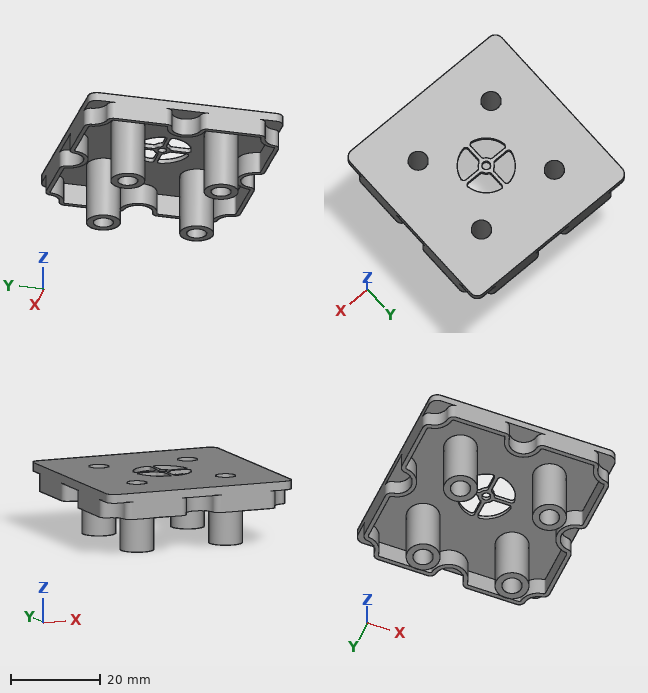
import cadquery as cq

side = 45.0
corner_radius = 2.0
rim_thickness = 2.0
block_height = 6.0
total_height = 15.2
wall = 1.0

pitch = 21.6
peg_diameter = 7.6
peg_bore = 4.5
scallop_radius = 3.35
lip_radius = 1.5

opening_diameter = 13.0
hub_diameter = 3.6
hub_bore = 2.0
spoke_width = 0.8
opening_fillet = 0.7

peg_places = [(x, y) for x in (-pitch / 2, pitch / 2) for y in (-pitch / 2, pitch / 2)]
scallop_places = [
    (x, y) for x in (-pitch, 0, pitch) for y in (-pitch, 0, pitch) if (x, y) != (0, 0)
]


def scalloped_block(width, radius, lip, top, bottom):
    """Square block between two heights with round bites at its corners and side middles, lips rounded."""
    height = top - bottom
    block = cq.Workplane("XY", origin=(0, 0, bottom)).rect(width, width).extrude(height)
    bites = cq.Workplane("XY", origin=(0, 0, bottom)).pushPoints(scallop_places)
    return block.cut(bites.circle(radius).extrude(height)).edges("|Z").fillet(lip)


def opening_windows():
    """Four rounded quarter windows left between the hub and its spokes."""
    ring = cq.Workplane("XY").circle(opening_diameter / 2).circle(hub_diameter / 2).extrude(-wall)
    for length, width in ((opening_diameter, spoke_width), (spoke_width, opening_diameter)):
        ring = ring.cut(cq.Workplane("XY").rect(length, width).extrude(-wall))
    return ring.edges("|Z").fillet(opening_fillet)


plate = cq.Workplane("XY").rect(side, side).extrude(-rim_thickness).edges("|Z").fillet(corner_radius)
skirt = scalloped_block(side, scallop_radius, lip_radius, -rim_thickness, -block_height)
cavity = scalloped_block(
    side - 2 * wall, scallop_radius + wall, lip_radius - wall, -wall, -block_height
)
body = plate.union(skirt).cut(cavity)

pegs = (
    cq.Workplane("XY").pushPoints(peg_places).circle(peg_diameter / 2).extrude(-total_height)
)
bores = cq.Workplane("XY").pushPoints(peg_places).circle(peg_bore / 2).extrude(-total_height)
body = body.union(pegs).cut(bores)

hub_hole = cq.Workplane("XY").circle(hub_bore / 2).extrude(-wall)
result = body.cut(opening_windows()).cut(hub_hole)